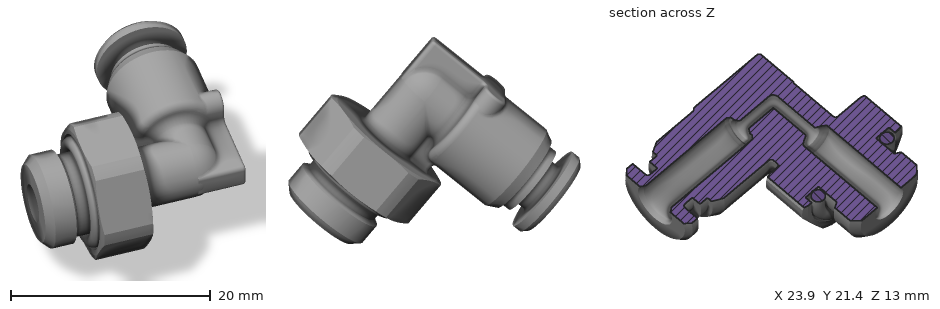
import cadquery as cq
import math


BACK_Y = 5.0
HEX_TOP_Y = -5.91
HEX_HEIGHT = 5.45
HEX_BOTTOM_Y = HEX_TOP_Y - HEX_HEIGHT
NECK_END_Y = -13.07
STUD_END_Y = -16.43

HEX_FLATS = 13.0
HEX_CORNER_RADIUS = 7.1
HEX_CHAMFER_DROP = 0.17

NECK_RADIUS = 4.25
STUD_RADIUS = 4.85
STUD_TOP_CHAMFER = 0.33
STUD_END_CHAMFER = 0.8

SEAL_SECTION_RADIUS = 0.75
SEAL_RING_RADIUS = NECK_RADIUS + SEAL_SECTION_RADIUS
SEAL_RECESS_RADIUS = 5.99
SEAL_RECESS_DEPTH = 0.88
SEAL_Y = HEX_BOTTOM_Y + SEAL_RECESS_DEPTH - SEAL_SECTION_RADIUS

PIPE_RADIUS = 3.1

OVERALL_LENGTH = 23.85
COLLAR_X = HEX_CORNER_RADIUS - OVERALL_LENGTH
COLLAR_CHAMFER_LENGTH = 0.57
COLLAR_FACE_RADIUS = 4.22
COLLAR_RADIUS = 4.75
COLLAR_BACK_X = -15.29
COLLAR_NECK_RADIUS = 2.72
COLLAR_NECK_FILLET = 0.3
SHOULDER_X = -13.95
SHOULDER_RADIUS = 3.75
BARREL_X = -12.9
BARREL_CHAMFER_END_X = -11.78
BARREL_FACE_RADIUS = 4.32
BARREL_RADIUS = 4.9
BARREL_END_X = -3.82
BARREL_END_ROUND = 0.8
PIPE_ROOT_FILLET = 0.79

WEB_HALF_THICKNESS = 1.29
WEB_RIGHT_X = 3.05
BOSS_WIDTH = 2.62
BOSS_LENGTH = 8.0
BOSS_X = BARREL_END_X - BOSS_WIDTH / 2
RIB_LEFT_X = -5.13
RIB_END_X = -1.67
RIB_TOP_Y = -1.67
EDGE_ROUND = 0.43
BACK_ROUND = 0.29

BOSS_BLEND = 0.33
PLATE_BLEND = 0.43
ROOT_BLEND = 0.35

BORE_RADIUS = 1.25
TUBE_MOUTH_RADIUS = 2.4
TUBE_RADIUS = 2.1
TUBE_MOUTH_DEPTH = 0.5
TUBE_SOCKET_END_X = -4.77
TUBE_STOP_RADIUS = 1.81
TUBE_STEP_RADIUS = 1.55
STUD_BORE_RADIUS = 1.98
STUD_BORE_END_Y = HEX_TOP_Y
STUD_STEP_RADIUS = 1.65
BORE_TAPER = 0.3

ARC_MID = math.sqrt(0.5)


def turned_about_x(profile):
    """Full turn of a closed (x, radius) profile about the tube axis."""
    return profile.close().revolve(360, (0, 0, 0), (1, 0, 0))


def turned_about_y(points):
    """Full turn of (radius, y) corners about the stud axis."""
    return cq.Workplane("XY").polyline(points).close().revolve(360, (0, 0, 0), (0, 1, 0))


def make_barrel():
    """Release collar, barrel and horizontal pipe as one turned shape."""
    fillet = COLLAR_NECK_FILLET
    root_x = BARREL_END_X + PIPE_ROOT_FILLET
    root_radius = PIPE_RADIUS + PIPE_ROOT_FILLET
    round_x = BARREL_END_X - BARREL_END_ROUND
    round_radius = BARREL_RADIUS - BARREL_END_ROUND
    profile = (
        cq.Workplane("XY")
        .moveTo(COLLAR_X, 0)
        .lineTo(COLLAR_X, COLLAR_FACE_RADIUS)
        .lineTo(COLLAR_X + COLLAR_CHAMFER_LENGTH, COLLAR_RADIUS)
        .lineTo(COLLAR_BACK_X, COLLAR_RADIUS)
        .lineTo(COLLAR_BACK_X, COLLAR_NECK_RADIUS + fillet)
        .threePointArc(
            (COLLAR_BACK_X + fillet * (1 - ARC_MID), COLLAR_NECK_RADIUS + fillet * (1 - ARC_MID)),
            (COLLAR_BACK_X + fillet, COLLAR_NECK_RADIUS),
        )
        .lineTo(SHOULDER_X, COLLAR_NECK_RADIUS)
        .lineTo(SHOULDER_X, SHOULDER_RADIUS)
        .lineTo(BARREL_X, SHOULDER_RADIUS)
        .lineTo(BARREL_X, BARREL_FACE_RADIUS)
        .lineTo(BARREL_CHAMFER_END_X, BARREL_RADIUS)
        .lineTo(round_x, BARREL_RADIUS)
        .threePointArc(
            (round_x + BARREL_END_ROUND * ARC_MID, round_radius + BARREL_END_ROUND * ARC_MID),
            (BARREL_END_X, round_radius),
        )
        .lineTo(BARREL_END_X, root_radius)
        .threePointArc(
            (root_x - PIPE_ROOT_FILLET * ARC_MID, root_radius - PIPE_ROOT_FILLET * ARC_MID),
            (root_x, PIPE_RADIUS),
        )
        .lineTo(0, PIPE_RADIUS)
        .lineTo(0, 0)
    )
    return turned_about_x(profile)


def make_elbow(radius, foot_y):
    """Stem about the stud axis, rising from foot_y to a round dome at the elbow corner."""
    profile = (
        cq.Workplane("XY")
        .moveTo(0, foot_y)
        .lineTo(radius, foot_y)
        .lineTo(radius, 0)
        .threePointArc((radius * ARC_MID, radius * ARC_MID), (0, radius))
    )
    return profile.close().revolve(360, (0, 0, 0), (0, 1, 0))


def make_back_web():
    """Back plate with its slot-shaped boss, edges rounded."""
    boss = (
        cq.Workplane("XZ")
        .center(BOSS_X, 0)
        .slot2D(BOSS_LENGTH, BOSS_WIDTH, 90)
        .extrude(-BACK_Y)
    )
    plate = cq.Workplane("XY").box(
        WEB_RIGHT_X - BOSS_X, BACK_Y, 2 * WEB_HALF_THICKNESS, centered=(False, False, True)
    ).translate((BOSS_X, 0, 0))
    plate = plate.edges("|Y and >X").fillet(EDGE_ROUND)
    web = boss.union(plate)
    inner_corners = cq.selectors.BoxSelector(
        (BARREL_END_X - EDGE_ROUND, 0, -WEB_HALF_THICKNESS - EDGE_ROUND),
        (BARREL_END_X + EDGE_ROUND, BACK_Y, WEB_HALF_THICKNESS + EDGE_ROUND),
    )
    web = web.edges("|Y").edges(inner_corners).fillet(EDGE_ROUND)
    return web.faces(">Y").edges().fillet(BACK_ROUND)


def make_rib():
    """Rib that braces the barrel against the hexagon."""
    rib = cq.Workplane("XY").box(
        RIB_END_X - RIB_LEFT_X, RIB_TOP_Y - HEX_TOP_Y, 2 * WEB_HALF_THICKNESS, centered=(False, False, True)
    ).translate((RIB_LEFT_X, HEX_TOP_Y, 0))
    return rib.edges("|Y and <X").fillet(EDGE_ROUND)


def make_hex():
    """Hexagon with rounded corners and both ends chamfered."""
    flats_radius = HEX_FLATS / 2
    prism = (
        cq.Workplane("XZ", origin=(0, HEX_TOP_Y, 0))
        .polygon(6, HEX_FLATS / math.cos(math.pi / 6))
        .extrude(HEX_HEIGHT)
    )
    envelope = turned_about_y([
        (0, HEX_TOP_Y),
        (flats_radius, HEX_TOP_Y),
        (HEX_CORNER_RADIUS, HEX_TOP_Y - HEX_CHAMFER_DROP),
        (HEX_CORNER_RADIUS, HEX_BOTTOM_Y + HEX_CHAMFER_DROP),
        (flats_radius, HEX_BOTTOM_Y),
        (0, HEX_BOTTOM_Y),
    ])
    seal_recess = (
        cq.Workplane("XZ", origin=(0, HEX_BOTTOM_Y + SEAL_RECESS_DEPTH, 0))
        .circle(SEAL_RECESS_RADIUS)
        .extrude(SEAL_RECESS_DEPTH)
    )
    return prism.intersect(envelope).cut(seal_recess)


def make_stud():
    """Neck and plain thread body below the hexagon."""
    return turned_about_y([
        (0, HEX_BOTTOM_Y + SEAL_RECESS_DEPTH),
        (NECK_RADIUS, HEX_BOTTOM_Y + SEAL_RECESS_DEPTH),
        (NECK_RADIUS, NECK_END_Y),
        (STUD_RADIUS, NECK_END_Y - STUD_TOP_CHAMFER),
        (STUD_RADIUS, STUD_END_Y + STUD_END_CHAMFER),
        (STUD_RADIUS - STUD_END_CHAMFER, STUD_END_Y),
        (0, STUD_END_Y),
    ])


def make_passages():
    """Tube socket and stud bore, joined by the round elbow bore."""
    tube_side = turned_about_x(
        cq.Workplane("XY").polyline([
            (COLLAR_X, 0),
            (COLLAR_X, TUBE_MOUTH_RADIUS),
            (COLLAR_X + TUBE_MOUTH_DEPTH, TUBE_RADIUS),
            (TUBE_SOCKET_END_X, TUBE_RADIUS),
            (TUBE_SOCKET_END_X + BORE_TAPER, TUBE_STOP_RADIUS),
            (TUBE_SOCKET_END_X + BORE_TAPER, TUBE_STEP_RADIUS),
            (TUBE_SOCKET_END_X + 2 * BORE_TAPER, BORE_RADIUS),
            (0, BORE_RADIUS),
            (0, 0),
        ])
    )
    stud_side = turned_about_y([
        (0, STUD_END_Y),
        (STUD_BORE_RADIUS, STUD_END_Y),
        (STUD_BORE_RADIUS, STUD_BORE_END_Y),
        (STUD_STEP_RADIUS, STUD_BORE_END_Y + BORE_TAPER),
        (BORE_RADIUS, STUD_BORE_END_Y + 2 * BORE_TAPER),
        (0, STUD_BORE_END_Y + 2 * BORE_TAPER),
    ])
    return tube_side.union(make_elbow(BORE_RADIUS, STUD_BORE_END_Y)).union(stud_side)


def blend(body, radius, points):
    """Fillet the tangent edge chains nearest to the points and to their mirror images in Z."""
    edges = []
    for x, y, z in points:
        for side_z in {z, -z}:
            edges += body.edges(cq.selectors.NearestToPointSelector((x, y, side_z))).vals()
    return body.newObject(edges).fillet(radius)


def make_fitting():
    """Collar, barrel, elbow, hexagon and stud in one piece, blended and bored."""
    body = make_barrel().union(make_rib()).union(make_back_web())
    body = body.union(make_elbow(PIPE_RADIUS, HEX_TOP_Y))
    body = body.union(make_hex().union(make_stud()))

    boss_end_z = BOSS_LENGTH / 2
    boss_on_barrel = (BOSS_X, math.sqrt(BARREL_RADIUS**2 - boss_end_z**2), boss_end_z)
    body = blend(body, BOSS_BLEND, [boss_on_barrel])

    web_chord = math.sqrt(PIPE_RADIUS**2 - WEB_HALF_THICKNESS**2)
    plate_on_pipe = (BARREL_END_X / 2, web_chord, WEB_HALF_THICKNESS)
    body = blend(body, PLATE_BLEND, [plate_on_pipe])

    barrel_corner = BARREL_END_ROUND * ARC_MID
    rib_on_barrel = (
        BARREL_END_X - BARREL_END_ROUND + barrel_corner,
        BARREL_END_ROUND - BARREL_RADIUS - barrel_corner,
        WEB_HALF_THICKNESS,
    )
    rib_on_stem = (-web_chord, (HEX_TOP_Y - web_chord) / 2, WEB_HALF_THICKNESS)
    pipe_on_stem = (-PIPE_RADIUS / 2, -PIPE_RADIUS / 2, PIPE_RADIUS * math.cos(math.pi / 6))
    rib_on_hex = ((RIB_LEFT_X - web_chord) / 2, HEX_TOP_Y, WEB_HALF_THICKNESS)
    stem_on_hex = (PIPE_RADIUS, HEX_TOP_Y, 0)
    body = blend(body, ROOT_BLEND, [rib_on_barrel, rib_on_stem, pipe_on_stem, rib_on_hex, stem_on_hex])

    rib_foot_flare = (
        cq.Workplane("XY")
        .box(ROOT_BLEND, ROOT_BLEND, 2 * (WEB_HALF_THICKNESS + ROOT_BLEND), centered=(False, False, True))
        .translate((RIB_LEFT_X - ROOT_BLEND, HEX_TOP_Y, 0))
    )
    return body.cut(rib_foot_flare).cut(make_passages())


def make_seal_ring():
    """O-ring around the neck, seated in the recess of the hexagon."""
    return (
        cq.Workplane("XY")
        .center(SEAL_RING_RADIUS, SEAL_Y)
        .circle(SEAL_SECTION_RADIUS)
        .revolve(360, (-SEAL_RING_RADIUS, 0, 0), (-SEAL_RING_RADIUS, 1, 0))
    )


fitting = make_fitting()
seal_ring = make_seal_ring()

result = cq.Compound.makeCompound([fitting.val(), seal_ring.val()])